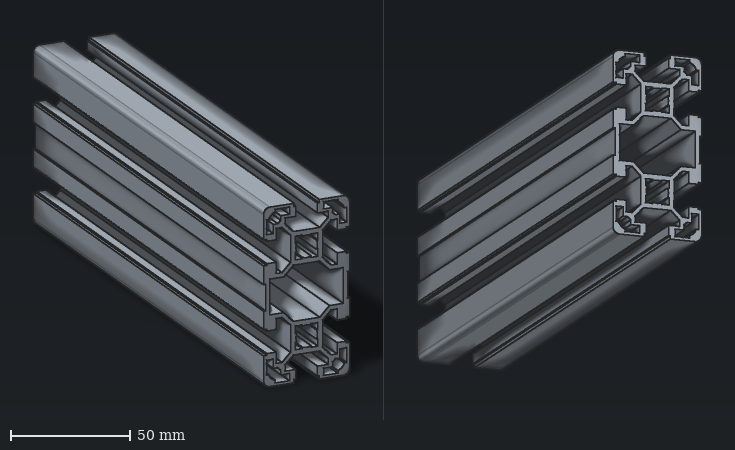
import cadquery as cq
import math


length = 227.0
cell = 40.0
half_cell = cell / 2
cell_centres = (-half_cell, half_cell)
corner_radius = 3.0

mouth_half = 5.0
mouth_step = 0.8
mouth_step_depth = 1.48
lip_depth = 6.0
slot_half = 10.0
core_half = 7.5
web_thickness = 2.0
web_offset = web_thickness / 2 * math.sqrt(2)

core_hole_half = 5.2
rib_half_width = 2.0
bore_radius = 5.0
rib_height = core_hole_half - math.sqrt(bore_radius**2 - rib_half_width**2)

skin = 1.4
lip_end_wall = 3.0
hollow_inset = 4.5
throat_wall = 2.0
throat_chamfer = 1.4
thick_corner_start = 5.5
thick_corner_step = 1.1
thick_corner_radius = 4.5

cavity_half_width = 17.0
cavity_half_height = 8.0
recess_half_height = 6.0
recess_depth = 1.0


def block(width, height):
    """Full-length rectangular bar centred on the X axis."""
    return cq.Workplane("YZ").rect(width, height).extrude(length)


def prism(points):
    """Full-length prism with a (Y, Z) polygon as its section."""
    return cq.Workplane("YZ").polyline(points).close().extrude(length)


def mirrored(points):
    """Close a right-hand chain of points with its mirror image across Z."""
    return points + [(-y, z) for y, z in reversed(points)]


def turned(body, angle):
    """Copy of a body turned about the X axis."""
    return body.rotate((0, 0, 0), (1, 0, 0), angle)


def t_slot():
    """Slot opening to +Z, measured from the centre of its cell."""
    lip_floor = half_cell - lip_depth
    step_floor = half_cell - mouth_step_depth
    return prism(mirrored([
        (mouth_half + mouth_step, half_cell),
        (mouth_half + mouth_step, step_floor),
        (mouth_half, step_floor),
        (mouth_half, lip_floor),
        (slot_half, lip_floor),
        (slot_half, slot_half + web_offset),
        (core_half - web_offset, core_half),
    ]))


def core_hole():
    """Square hole with a shallow rib on each wall, its face curved to the bore."""
    hole = block(2 * core_hole_half, 2 * core_hole_half)
    rib = block(2 * rib_half_width, rib_height).translate((0, 0, core_hole_half - rib_height / 2))
    for angle in (0, 90, 180, 270):
        hole = hole.cut(turned(rib, angle))
    bore = cq.Workplane("YZ").circle(bore_radius).extrude(length)
    return hole.union(bore)


def corner_hollow():
    """L-shaped hollow in the +Y +Z corner, measured from the centre of its cell."""
    outer = half_cell - skin
    start = mouth_half + lip_end_wall
    inset = half_cell - hollow_inset
    throat = slot_half + throat_wall
    arc_start = half_cell - thick_corner_start
    arc_level = outer - thick_corner_step
    half_chord = (arc_level - arc_start) * math.sqrt(0.5)
    arc_rise = thick_corner_radius - math.sqrt(thick_corner_radius**2 - half_chord**2)
    arc_middle = (arc_level + arc_start) / 2 + arc_rise * math.sqrt(0.5)
    return (
        cq.Workplane("YZ")
        .moveTo(start, outer)
        .lineTo(arc_start, outer)
        .lineTo(arc_start, arc_level)
        .threePointArc((arc_middle, arc_middle), (arc_level, arc_start))
        .lineTo(outer, arc_start)
        .lineTo(outer, start)
        .lineTo(inset, start)
        .lineTo(inset, throat)
        .lineTo(throat + throat_chamfer, throat)
        .lineTo(throat, throat + throat_chamfer)
        .lineTo(throat, inset)
        .lineTo(start, inset)
        .close()
        .extrude(length)
    )


def central_cavity():
    """Cavity between the cells, bounded by the cores and the inner webs."""
    core_level = half_cell - core_half
    web_run = core_level - cavity_half_height
    web_root = core_half - web_offset
    upper = [
        (web_root, core_level),
        (web_root + web_run, cavity_half_height),
        (cavity_half_width, cavity_half_height),
    ]
    lower = [(y, -z) for y, z in reversed(upper)]
    return prism(mirrored(upper + lower))


bar = block(cell, 2 * cell).edges("|X").fillet(corner_radius)

slot = t_slot()
hole = core_hole()
for centre in cell_centres:
    bar = bar.cut(hole.translate((0, 0, centre)))
    for side in (-90, 90):
        bar = bar.cut(turned(slot, side).translate((0, 0, centre)))

upper_hollow = corner_hollow()
upper_hollows = upper_hollow.union(upper_hollow.mirror("XZ"))
for end in (0, 180):
    bar = bar.cut(turned(slot.translate((0, 0, half_cell)), end))
    bar = bar.cut(turned(upper_hollows.translate((0, 0, half_cell)), end))

bar = bar.cut(central_cavity())
recess = block(recess_depth, 2 * recess_half_height)
recess_centre = half_cell - recess_depth / 2
for y in (-recess_centre, recess_centre):
    bar = bar.cut(recess.translate((0, y, 0)))

result = bar.translate((-length / 2, 0, 0))